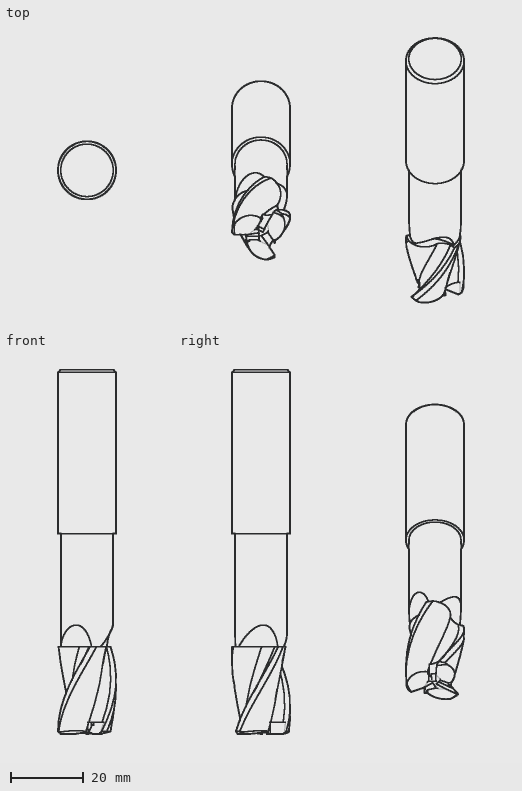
import cadquery as cq
import math

total_length = 100.0
shank_diameter = 16.0
shank_length = 45.0
shank_chamfer = 0.8
neck_diameter = 14.3

head_length = 24.0
head_radius = shank_diameter / 2
tooth_count = 3
tooth_pitch = 360.0 / tooth_count
helix_angle = 30.0
first_edge_angle = 57.0
helix_turn = math.degrees(head_length * math.tan(math.radians(helix_angle)) / head_radius)

land_angle = 13.0
back_middle_angle = 42.0
back_middle_radius = 6.8
back_end_angle = 86.0
core_radius = 4.5
flute_middle_angle = 103.0
flute_middle_radius = 4.8
rake_angle = 119.0
rake_radius = 6.5

corner_chamfer = 0.8
dish_depth = 0.6
dish_radius = 3.5
end_relief_angle = 10.0
gash_height = 3.3
gash_width = 1.8
gash_lean = 1.6
gash_start = 0.6

runout_radius = 7.5
runout_angle = 86.0
runout_rise = 0.8
runout_sweep = math.tan(math.radians(helix_angle))
runout_reach = 14.0

clearance = 1.0


def polar(radius, angle):
    """Point at a radius and an angle in degrees."""
    return radius * math.cos(math.radians(angle)), radius * math.sin(math.radians(angle))


def edge_angles(angle_at_first):
    """Directions of a feature repeated once per tooth."""
    return [angle_at_first + i * tooth_pitch for i in range(tooth_count)]


def tooth_section():
    """Closed outline of the teeth: land, convex back, concave flute and flat rake face for each one."""
    outline = cq.Workplane("XY").moveTo(*polar(head_radius, first_edge_angle))
    for edge in edge_angles(first_edge_angle):
        outline = (
            outline.threePointArc(
                polar(head_radius, edge + land_angle / 2), polar(head_radius, edge + land_angle)
            )
            .threePointArc(
                polar(back_middle_radius, edge + back_middle_angle),
                polar(core_radius, edge + back_end_angle),
            )
            .threePointArc(
                polar(flute_middle_radius, edge + flute_middle_angle),
                polar(rake_radius, edge + rake_angle),
            )
            .lineTo(*polar(head_radius, edge + tooth_pitch))
        )
    return outline.close()


def head_envelope():
    """Turned blank with a chamfered corner and a dished end centre."""
    return (
        cq.Workplane("XZ")
        .moveTo(0, dish_depth)
        .lineTo(dish_radius, 0)
        .lineTo(head_radius - corner_chamfer, 0)
        .lineTo(head_radius + clearance, corner_chamfer + clearance)
        .lineTo(head_radius + clearance, head_length)
        .lineTo(0, head_length)
        .close()
        .revolve(360, (0, 0, 0), (0, 1, 0))
    )


def end_cutter():
    """Gash ahead of an end edge lying along +X, joined to the relief wedge behind it."""
    reach = head_radius + clearance
    gash = (
        cq.Workplane("YZ", origin=(gash_start, 0, 0))
        .moveTo(0, 0)
        .lineTo(gash_lean, gash_height)
        .lineTo(-gash_width, gash_height)
        .lineTo(-gash_width, -clearance)
        .lineTo(0, -clearance)
        .close()
        .extrude(reach)
    )
    relief = (
        cq.Workplane("YZ")
        .moveTo(0, 0)
        .lineTo(reach, reach * math.tan(math.radians(end_relief_angle)))
        .lineTo(reach, -clearance)
        .lineTo(0, -clearance)
        .close()
        .extrude(reach)
    )
    return gash.union(relief)


def make_cutting_head():
    head = tooth_section().twistExtrude(head_length, helix_turn).intersect(head_envelope())
    for edge in edge_angles(first_edge_angle):
        head = head.cut(end_cutter().rotate((0, 0, 0), (0, 0, 1), edge))
    return head.solids()


def runout_cutter():
    """Slanted round bar whose inner side starts on the core circle and rises out of the neck."""
    direction = cq.Vector(runout_rise, runout_sweep, 1)
    start = cq.Vector(core_radius + runout_radius, 0, head_length)
    return cq.Workplane(
        cq.Solid.makeCylinder(runout_radius, 2 * runout_reach, start - direction * runout_reach, direction)
    )


def make_shank():
    neck_length = total_length - shank_length - head_length
    neck = cq.Workplane("XY", origin=(0, 0, head_length)).circle(neck_diameter / 2).extrude(neck_length)
    holder = (
        cq.Workplane("XY", origin=(0, 0, total_length - shank_length))
        .circle(shank_diameter / 2)
        .extrude(shank_length)
        .faces(">Z")
        .chamfer(shank_chamfer)
    )
    shank = holder.union(neck)
    for angle in edge_angles(first_edge_angle + helix_turn + runout_angle):
        shank = shank.cut(runout_cutter().rotate((0, 0, 0), (0, 0, 1), angle))
    return shank.solids()


cutting_head = make_cutting_head()
shank = make_shank()

result = cq.Compound.makeCompound([cutting_head.val(), shank.val()])